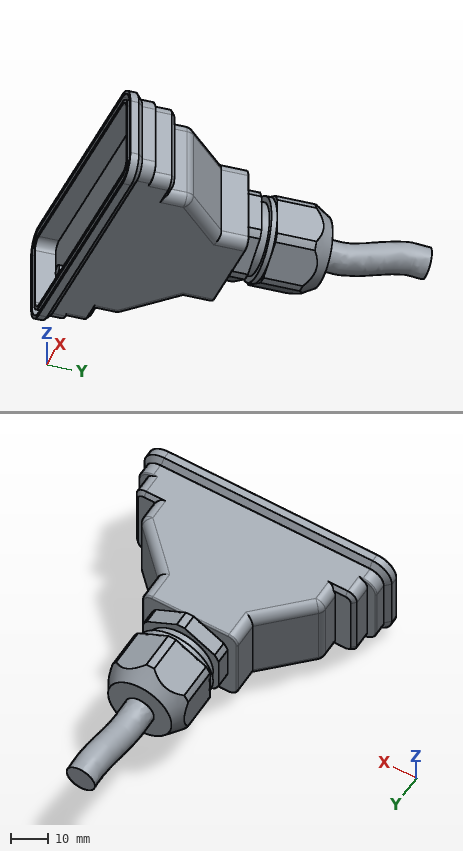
import cadquery as cq
import math


flange_length = 78.4
flange_height = 29.4
flange_top = 4.0
flange_chamfer = 1.6
flange_radius = 6.2

groove_inset = 0.9
groove_depth = 2.0
inner_rim_inset = 2.5
cavity_inset = 3.4
cavity_depth = 5.9
pin_diameter = 3.0
pin_length = 1.0
pin_x = 31.7
pin_z = 0.4

body_thickness = 26.0
body_radius = 3.0
lip_half_width = 37.6
lip_radius = 4.4
lip_top = 8.0
lip_edge_radius = 0.4
tier_half_width = 34.9
tier_top = 14.7
tier_chamfer = 1.2
shoulder_half_width = 28.8
neck_half_width = 15.1
neck_base = 35.0
neck_top = 43.0
neck_edge_radius = 0.5
shoulder_top = neck_base - (shoulder_half_width - neck_half_width)

gland_z = 0.75
hex_flats = 24.0
hex_half_angle = 30.0
hex_corner_diameter = 26.4
lock_nut_top = 47.7
thread_diameter = 20.5
collar_base = 50.5
collar_diameter = hex_flats
cap_nut_base = 52.1
cap_nut_top = 68.9
cap_nut_top_diameter = 20.1
cap_cone_angle = 30.0

cable_diameter = 9.0
cable_start_z = 0.4
cable_low_y = 75.3
cable_low_z = 0.2
cable_high_y = 94.2
cable_high_z = 4.9
cable_tilt = 3.0
cable_end_z = 4.6
part_length = 99.7

margin = 1.0


def cylinder(diameter, y_start, y_end, x=0.0, z=0.0):
    """Round bar along Y."""
    base = cq.Workplane("XZ", origin=(x, y_start, z))
    return base.circle(diameter / 2).extrude(y_start - y_end)


def rounded_block(length, height, radius, y_start, y_end):
    """Block centred on the Y axis, with its four edges along Y rounded."""
    block = cq.Workplane("XZ", origin=(0, y_start, 0)).rect(length, height).extrude(y_start - y_end)
    return block.edges("|Y").fillet(radius)


def flange_block(inset, y_start, y_end):
    """Block that follows the flange outline at a constant inset."""
    return rounded_block(
        flange_length - 2 * inset, flange_height - 2 * inset, flange_radius - inset, y_start, y_end
    )


def hex_nut(y_start, y_end):
    """Hexagonal nut with two flats facing X and its corners turned round."""
    corner_to_corner = hex_flats / math.cos(math.radians(hex_half_angle))
    base = cq.Workplane("XZ", origin=(0, y_start, gland_z)).transformed(rotate=(0, 0, hex_half_angle))
    hexagon = base.polygon(6, corner_to_corner).extrude(y_start - y_end)
    return hexagon.intersect(cylinder(hex_corner_diameter, y_start, y_end, z=gland_z))


def make_flange():
    """Base flange with its rear edge chamfered."""
    flange = flange_block(0, 0, flange_top)
    return flange.faces(">Y").chamfer(flange_chamfer)


def make_upper_body():
    """Shoulder, 45 degree slopes and neck with their edges rounded."""
    right_side = [
        (shoulder_half_width, lip_top),
        (shoulder_half_width, shoulder_top),
        (neck_half_width, neck_base),
        (neck_half_width, neck_top),
    ]
    left_side = [(-x, y) for x, y in reversed(right_side)]
    body = cq.Workplane("XY").polyline(right_side + left_side).close()
    body = body.extrude(body_thickness / 2, both=True)
    shoulder_zone = cq.selectors.BoxSelector(
        (-tier_half_width, shoulder_top - margin, -body_thickness),
        (tier_half_width, shoulder_top + margin, body_thickness),
    )
    shoulder_corners = body.edges("|Z").edges(shoulder_zone)
    outline = body.faces("<Z or >Z").edges("not |X")
    body = outline.add(shoulder_corners).fillet(body_radius)
    return body.faces(">Y").edges().fillet(neck_edge_radius)


def make_hood():
    """Flange, lip, tier and upper body joined into one solid block."""
    lip = rounded_block(2 * lip_half_width, body_thickness, lip_radius, 0, lip_top)
    lip = lip.faces(">Y").edges().fillet(lip_edge_radius)
    tier = rounded_block(2 * tier_half_width, body_thickness, body_radius, 0, tier_top)
    tier = tier.faces(">Y").chamfer(tier_chamfer)
    return make_flange().union(lip).union(tier).union(make_upper_body())


def cut_mating_face(hood):
    """Gasket groove and cavity, with two short pins on the cavity floor."""
    groove = flange_block(groove_inset, 0, groove_depth).cut(flange_block(inner_rim_inset, 0, groove_depth))
    cavity = flange_block(cavity_inset, 0, cavity_depth)
    hood = hood.cut(groove).cut(cavity)
    for x in (-pin_x, pin_x):
        hood = hood.union(cylinder(pin_diameter, cavity_depth - pin_length, cavity_depth + margin, x, pin_z))
    return hood


def make_gland():
    """Threaded neck with lock nut, collar and cone-topped cap nut."""
    cone_length = (hex_corner_diameter - cap_nut_top_diameter) / 2 / math.tan(math.radians(cap_cone_angle))
    cone = (
        cq.Workplane("XY")
        .moveTo(0, cap_nut_base)
        .lineTo(hex_corner_diameter / 2, cap_nut_base)
        .lineTo(hex_corner_diameter / 2, cap_nut_top - cone_length)
        .lineTo(cap_nut_top_diameter / 2, cap_nut_top)
        .lineTo(0, cap_nut_top)
        .close()
        .revolve(360, (0, 0, 0), (0, 1, 0))
        .translate((0, 0, gland_z))
    )
    cap_nut = hex_nut(cap_nut_base, cap_nut_top).intersect(cone)
    lock_nut = hex_nut(neck_top, lock_nut_top)
    thread = cylinder(thread_diameter, neck_top - margin, cap_nut_base, z=gland_z)
    collar = cylinder(collar_diameter, collar_base, cap_nut_base, z=gland_z)
    return thread.union(lock_nut).union(collar).union(cap_nut)


def make_cable():
    """Bent cable whose end face leans back by the tilt angle."""
    tilt = math.radians(cable_tilt)
    end_y = part_length - cable_diameter / 2 * math.sin(tilt)
    start_y = cap_nut_top - margin
    middle = ((cable_low_y + cable_high_y) / 2, (cable_low_z + cable_high_z) / 2)
    path = cq.Workplane("YZ").spline(
        [
            (start_y, cable_start_z),
            (cable_low_y, cable_low_z),
            middle,
            (cable_high_y, cable_high_z),
            (end_y, cable_end_z),
        ],
        tangents=[(1, 0), (math.cos(tilt), -math.sin(tilt))],
    )
    section = cq.Workplane("XZ", origin=(0, start_y, cable_start_z)).circle(cable_diameter / 2)
    return section.sweep(path)


result = cut_mating_face(make_hood()).union(make_gland()).union(make_cable())